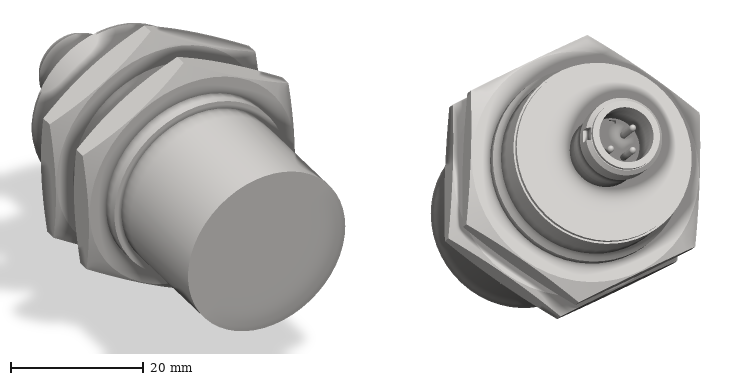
import cadquery as cq
import math


MOUTH_DIAMETER = 10.55
MOUTH_LENGTH = 0.7
COLLAR_DIAMETER = 12.0
CHAMFER_START_DIAMETER = 10.75
COLLAR_START = 1.35
COLLAR_END = 4.65
NECK_START = 5.0
NECK_DIAMETER = 10.9
SHELL_LENGTH = 9.8
BORE_DIAMETER = 8.5
BORE_DEPTH = 7.75

KEYWAY_WIDTH = 1.9
KEYWAY_END = 3.0
RECESS_WIDTH = 1.1
RECESS_HEIGHT = 0.5
RECESS_CENTER_Z = 3.7
RECESS_DEPTH = 0.6

PIN_DIAMETER = 1.0
PIN_TIP_X = 2.1
PIN_OFFSET = 1.7
PIN_POSITIONS = [(-PIN_OFFSET, PIN_OFFSET), (-PIN_OFFSET, -PIN_OFFSET), (PIN_OFFSET, -PIN_OFFSET)]

STUB_DIAMETER = 10.75
PLUG_DIAMETER = 27.4
PLUG_START = 12.4

HOUSING_START = 13.15
FRONT_DIAMETER = 28.0
TAPER_START = 20.0
THREAD_START = 21.05
THREAD_DIAMETER = 30.0
THREAD_END = 39.5
REAR_DIAMETER = 27.5
OVERALL_LENGTH = 59.5

NUT_ACROSS_FLATS = 36.0
NUT_THICKNESS = 4.5
NUT_STARTS = [22.55, 32.5]
NUT_ROTATION = 1.9
NUT_FACE_DIAMETER = 35.7
NUT_CHAMFER_LENGTH = 1.3


def cylinder(diameter, start, end):
    """Cylinder on the sensor axis between two X positions."""
    return cq.Workplane("YZ", origin=(start, 0, 0)).circle(diameter / 2).extrude(end - start)


def turned(points):
    """Revolve an outline of (x, radius) points about the X axis."""
    return cq.Workplane("XY").polyline(points).close().revolve(360, (0, 0, 0), (1, 0, 0))


def make_shell():
    body = turned([
        (0, 0),
        (0, MOUTH_DIAMETER / 2),
        (MOUTH_LENGTH, MOUTH_DIAMETER / 2),
        (MOUTH_LENGTH, CHAMFER_START_DIAMETER / 2),
        (COLLAR_START, COLLAR_DIAMETER / 2),
        (COLLAR_END, COLLAR_DIAMETER / 2),
        (NECK_START, NECK_DIAMETER / 2),
        (SHELL_LENGTH, NECK_DIAMETER / 2),
        (SHELL_LENGTH, 0),
    ])
    bore = cylinder(BORE_DIAMETER, 0, BORE_DEPTH)
    keyway = cq.Workplane("XY").box(
        KEYWAY_END, COLLAR_DIAMETER, KEYWAY_WIDTH, centered=(False, False, True)
    ).translate((0, MOUTH_DIAMETER / 2, 0))
    recess = cq.Workplane("XY").box(
        RECESS_DEPTH, RECESS_WIDTH, RECESS_HEIGHT, centered=(False, True, True)
    ).translate((BORE_DEPTH, 0, RECESS_CENTER_Z))
    return body.cut(bore).cut(keyway).cut(recess)


def make_pin(y, z):
    """Pin standing on the bore floor, with a hemispherical tip."""
    radius = PIN_DIAMETER / 2
    dome_base_x = PIN_TIP_X + radius
    dome = cq.Workplane("XY").sphere(radius).translate((dome_base_x, 0, 0))
    pin = cylinder(PIN_DIAMETER, dome_base_x, BORE_DEPTH).union(dome)
    return pin.translate((0, y, z))


def make_plug():
    stub = cylinder(STUB_DIAMETER, SHELL_LENGTH, PLUG_START)
    disc = cylinder(PLUG_DIAMETER, PLUG_START, HOUSING_START)
    return stub.union(disc)


def make_housing():
    return turned([
        (HOUSING_START, 0),
        (HOUSING_START, FRONT_DIAMETER / 2),
        (TAPER_START, FRONT_DIAMETER / 2),
        (THREAD_START, THREAD_DIAMETER / 2),
        (THREAD_END, THREAD_DIAMETER / 2),
        (THREAD_END, REAR_DIAMETER / 2),
        (OVERALL_LENGTH, REAR_DIAMETER / 2),
        (OVERALL_LENGTH, 0),
    ])


def make_nut(start):
    """Hexagon nut with its corners chamfered conically on both faces."""
    corner_radius = NUT_ACROSS_FLATS / 2 / math.cos(math.radians(30))
    face_radius = NUT_FACE_DIAMETER / 2
    hexagon = (
        cq.Workplane("YZ")
        .polygon(6, 2 * corner_radius)
        .extrude(NUT_THICKNESS)
        .rotate((0, 0, 0), (1, 0, 0), 90 + NUT_ROTATION)
    )
    chamfer_envelope = turned([
        (0, 0),
        (0, face_radius),
        (NUT_CHAMFER_LENGTH, corner_radius),
        (NUT_THICKNESS - NUT_CHAMFER_LENGTH, corner_radius),
        (NUT_THICKNESS, face_radius),
        (NUT_THICKNESS, 0),
    ])
    hole = cylinder(THREAD_DIAMETER, 0, NUT_THICKNESS)
    return hexagon.intersect(chamfer_envelope).cut(hole).translate((start, 0, 0))


shell = make_shell()
plug = make_plug()
housing = make_housing()
pins = [make_pin(y, z) for y, z in PIN_POSITIONS]
nuts = [make_nut(start) for start in NUT_STARTS]

result = cq.Compound.makeCompound([
    shell.val(),
    plug.val(),
    housing.val(),
    *[pin.val() for pin in pins],
    *[nut.val() for nut in nuts],
])